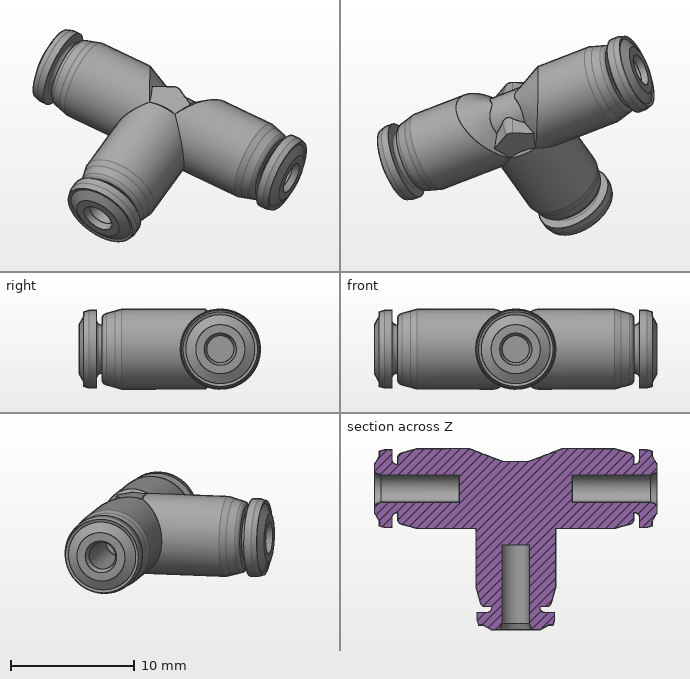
import cadquery as cq
import math

ARM_REACH = 11.45
BODY_RADIUS = 3.25

SLEEVE_TAPER_START = 8.0
SLEEVE_TAPER_MIDDLE = 8.55
SLEEVE_TAPER_END = 9.23
SLEEVE_MIDDLE_RADIUS = 3.1
SLEEVE_END_RADIUS = 2.9
RIM_ROUND = 0.5
RIM_ROUND_START_ANGLE = math.radians(75)
RIM_ROUND_END_ANGLE = math.radians(20)

NECK_RADIUS = 1.97
NECK_FILLET = 0.4
FLANGE_BACK = 10.03
FLANGE_STEP = 10.63
FLANGE_FRONT = 11.08
FLANGE_RADIUS = 3.15
LIP_RADIUS = 3.02
NOSE_GROOVE_DEPTH = 0.07
NOSE_BASE_RADIUS = 2.8
NOSE_TIP_RADIUS = 2.0

MOUTH_RADIUS = 1.3
BORE_RADIUS = 1.1
MOUTH_DEPTH = 0.53
BORE_DEPTH = 6.87

ARM_CUT_TILT = 30.0
SHOULDER_ANGLE = 51.0
SHOULDER_HEIGHT = 2.3
CORE_RADIUS = 2.2
PAD_HALF_HEIGHT = 3.02
PAD_BACK_SLOPE = 30.0
PAD_TIP_ROUND = 0.6
PAD_CORNER_Y = 0.27
PAD_TIP_Y = 1.21
PAD_DRAFT = 14.0

MITRE_CORNER = math.sqrt(BODY_RADIUS**2 - PAD_HALF_HEIGHT**2)
ARM_CUT_X = MITRE_CORNER * (1 + math.tan(math.radians(ARM_CUT_TILT)))
CLIP_WIDTH = 4 * ARM_REACH


def arm_solid():
    """One arm with its sleeve end and release cap, along +Z from the tee centre."""
    rim_centre_z = SLEEVE_TAPER_END - RIM_ROUND * math.cos(RIM_ROUND_START_ANGLE)
    rim_centre_r = SLEEVE_END_RADIUS - RIM_ROUND * math.sin(RIM_ROUND_START_ANGLE)

    def rim_point(angle):
        return (
            rim_centre_r + RIM_ROUND * math.sin(angle),
            rim_centre_z + RIM_ROUND * math.cos(angle),
        )

    rim_middle = rim_point((RIM_ROUND_START_ANGLE + RIM_ROUND_END_ANGLE) / 2)
    rim_end = rim_point(RIM_ROUND_END_ANGLE)
    sleeve_end_z = rim_end[1]
    fillet_middle_offset = NECK_FILLET * math.sin(math.radians(45))
    fillet_centre_r = NECK_RADIUS + NECK_FILLET
    fillet_centre_z = FLANGE_BACK - NECK_FILLET
    return (
        cq.Workplane("XZ")
        .lineTo(BODY_RADIUS, 0)
        .lineTo(BODY_RADIUS, SLEEVE_TAPER_START)
        .lineTo(SLEEVE_MIDDLE_RADIUS, SLEEVE_TAPER_MIDDLE)
        .lineTo(SLEEVE_END_RADIUS, SLEEVE_TAPER_END)
        .threePointArc(rim_middle, rim_end)
        .lineTo(NECK_RADIUS, sleeve_end_z)
        .lineTo(NECK_RADIUS, fillet_centre_z)
        .threePointArc(
            (fillet_centre_r - fillet_middle_offset, fillet_centre_z + fillet_middle_offset),
            (fillet_centre_r, FLANGE_BACK),
        )
        .lineTo(FLANGE_RADIUS, FLANGE_BACK)
        .lineTo(FLANGE_RADIUS, FLANGE_STEP)
        .lineTo(LIP_RADIUS, FLANGE_FRONT)
        .lineTo(NOSE_BASE_RADIUS, FLANGE_FRONT - NOSE_GROOVE_DEPTH)
        .lineTo(NOSE_TIP_RADIUS, ARM_REACH)
        .lineTo(0, ARM_REACH)
        .close()
        .revolve(360, (0, 0, 0), (0, 1, 0))
    )


def bore_solid():
    """Blind tube bore with its tapered mouth, along +Z."""
    return (
        cq.Workplane("XZ")
        .moveTo(0, ARM_REACH - BORE_DEPTH)
        .lineTo(BORE_RADIUS, ARM_REACH - BORE_DEPTH)
        .lineTo(BORE_RADIUS, ARM_REACH - MOUTH_DEPTH)
        .lineTo(MOUTH_RADIUS, ARM_REACH)
        .lineTo(0, ARM_REACH)
        .close()
        .revolve(360, (0, 0, 0), (0, 1, 0))
    )


def point_left(solid):
    return solid.rotate((0, 0, 0), (0, 1, 0), -90)


def point_forward(solid):
    return solid.rotate((0, 0, 0), (1, 0, 0), 90)


def mirrored_pair(solid):
    return solid.union(solid.mirror("YZ"))


def shoulder(plane, half_width):
    """Tapered step from the oval cut end of an arm, narrowing equally all round."""
    inset = SHOULDER_HEIGHT * math.tan(math.radians(SHOULDER_ANGLE))
    return (
        cq.Workplane(plane)
        .ellipse(half_width, BODY_RADIUS)
        .workplane(offset=SHOULDER_HEIGHT)
        .ellipse(half_width - inset, BODY_RADIUS - inset)
        .loft(ruled=True)
    )


def closed_arm(arm, plane, half_width):
    """Arm clipped on a plane and closed there by its shoulder."""
    beyond_cut = cq.Workplane(plane).rect(CLIP_WIDTH, CLIP_WIDTH).extrude(ARM_REACH)
    return arm.cut(beyond_cut).union(shoulder(plane, half_width))


def run_arm():
    """Left arm: cut on a tilted plane."""
    tilt = math.radians(ARM_CUT_TILT)
    cut_plane = cq.Plane(
        origin=(-ARM_CUT_X, 0, 0),
        xDir=(-math.sin(tilt), math.cos(tilt), 0),
        normal=(math.cos(tilt), math.sin(tilt), 0),
    )
    return closed_arm(point_left(arm_solid()), cut_plane, BODY_RADIUS / math.cos(tilt))


def branch_arm():
    """Front arm: cut square to its axis."""
    cut_plane = cq.Plane(origin=(0, -MITRE_CORNER, 0), xDir=(-1, 0, 0), normal=(0, 1, 0))
    return closed_arm(point_forward(arm_solid()), cut_plane, BODY_RADIUS)


def pads():
    """Five-sided block with flat pads on top and bottom, drafted from its middle plane."""
    back_slope = math.radians(PAD_BACK_SLOPE)
    tip_x = PAD_TIP_ROUND * math.sin(back_slope)
    tip_y = PAD_TIP_Y - PAD_TIP_ROUND * (1 - math.cos(back_slope))
    corner_x = tip_x + (tip_y - PAD_CORNER_Y) / math.tan(back_slope)
    upper = (
        cq.Workplane("XY", origin=(0, 0, PAD_HALF_HEIGHT))
        .moveTo(-MITRE_CORNER, -MITRE_CORNER)
        .lineTo(MITRE_CORNER, -MITRE_CORNER)
        .lineTo(corner_x, PAD_CORNER_Y)
        .lineTo(tip_x, tip_y)
        .threePointArc((0, PAD_TIP_Y), (-tip_x, tip_y))
        .lineTo(-corner_x, PAD_CORNER_Y)
        .close()
        .extrude(-PAD_HALF_HEIGHT, taper=-PAD_DRAFT)
    )
    return upper.union(upper.mirror("XY"))


core = cq.Workplane("YZ").circle(CORE_RADIUS).extrude(BODY_RADIUS, both=True)

tee = mirrored_pair(run_arm()).union(branch_arm()).union(core).union(pads())
bores = mirrored_pair(point_left(bore_solid())).union(point_forward(bore_solid()))

result = tee.cut(bores)